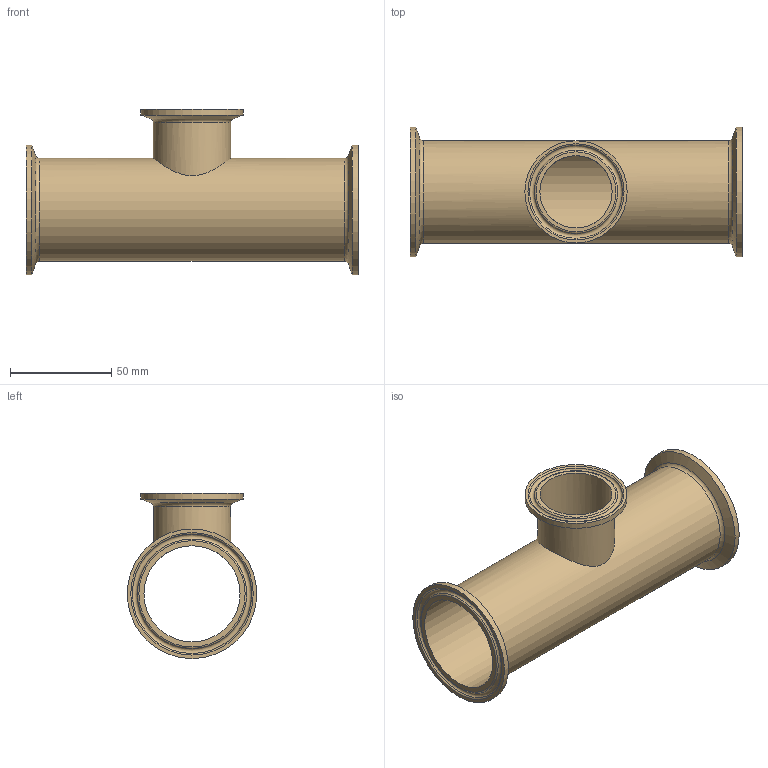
import cadquery as cq
import math

RUN_LENGTH = 164.0
RUN_OUTER_DIA = 50.8
RUN_BORE_DIA = 47.5
RUN_FLANGE_DIA = 64.0
RUN_GROOVE_DIA = 56.5

BRANCH_HEIGHT = 49.6
BRANCH_OUTER_DIA = 38.1
BRANCH_BORE_DIA = 35.7
BRANCH_FLANGE_DIA = 50.5
BRANCH_GROOVE_DIA = 43.5

RIM_THICKNESS = 2.85
BACK_ANGLE = math.radians(20.0)
NECK_RADIUS = 2.0

GROOVE_WIDTH = 4.0
GROOVE_DEPTH = 1.6
LIP_RADIUS = 0.8


def ferrule_body(length, pipe_dia, flange_dia):
    """Solid pipe along +Z from the origin, with a clamp flange at its top end."""
    pipe_radius = pipe_dia / 2
    flange_radius = flange_dia / 2
    rim_back = length - RIM_THICKNESS

    cone_foot = rim_back - (flange_radius - pipe_radius) * math.tan(BACK_ANGLE)
    neck_turn = math.pi / 2 - BACK_ANGLE
    tangent_length = NECK_RADIUS * math.tan(neck_turn / 2)
    neck_start = (pipe_radius, cone_foot - tangent_length)
    neck_end = (
        pipe_radius + tangent_length * math.cos(BACK_ANGLE),
        cone_foot + tangent_length * math.sin(BACK_ANGLE),
    )
    neck_middle = (
        pipe_radius + NECK_RADIUS * (1 - math.cos(neck_turn / 2)),
        neck_start[1] + NECK_RADIUS * math.sin(neck_turn / 2),
    )

    profile = (
        cq.Workplane("XZ")
        .lineTo(pipe_radius, 0)
        .lineTo(*neck_start)
        .threePointArc(neck_middle, neck_end)
        .lineTo(flange_radius, rim_back)
        .lineTo(flange_radius, length)
        .lineTo(0, length)
        .close()
    )
    return profile.revolve(360, (0, 0, 0), (0, 1, 0))


def gasket_groove(length, groove_dia):
    """Ring cutter for the groove in the end face at height `length`."""
    centre = groove_dia / 2
    half_width = GROOVE_WIDTH / 2

    floor_radius = (half_width**2 + GROOVE_DEPTH**2) / (2 * GROOVE_DEPTH) - LIP_RADIUS
    lip_turn = math.asin(half_width / (floor_radius + LIP_RADIUS))
    joint_offset = floor_radius * math.sin(lip_turn)
    joint_z = length - LIP_RADIUS * (1 - math.cos(lip_turn))
    lip_offset = half_width - LIP_RADIUS * math.sin(lip_turn / 2)
    lip_z = length - LIP_RADIUS * (1 - math.cos(lip_turn / 2))

    profile = (
        cq.Workplane("XZ")
        .moveTo(centre - half_width, length)
        .threePointArc((centre - lip_offset, lip_z), (centre - joint_offset, joint_z))
        .threePointArc((centre, length - GROOVE_DEPTH), (centre + joint_offset, joint_z))
        .threePointArc((centre + lip_offset, lip_z), (centre + half_width, length))
        .close()
    )
    return profile.revolve(360, (0, 0, 0), (0, 1, 0))


def grooved_ferrule(length, pipe_dia, flange_dia, groove_dia):
    body = ferrule_body(length, pipe_dia, flange_dia)
    return body.cut(gasket_groove(length, groove_dia))


def make_run():
    """Both halves of the run pipe, still without its bore."""
    half = grooved_ferrule(RUN_LENGTH / 2, RUN_OUTER_DIA, RUN_FLANGE_DIA, RUN_GROOVE_DIA)
    right_half = half.rotate((0, 0, 0), (0, 1, 0), 90)
    left_half = half.rotate((0, 0, 0), (0, 1, 0), -90)
    return right_half.union(left_half)


def make_bores():
    """Through bore of the run and the branch bore that opens into it."""
    run_bore = cq.Workplane("YZ").circle(RUN_BORE_DIA / 2).extrude(RUN_LENGTH / 2, both=True)
    branch_bore = cq.Workplane("XY").circle(BRANCH_BORE_DIA / 2).extrude(BRANCH_HEIGHT)
    return run_bore.union(branch_bore)


branch = grooved_ferrule(BRANCH_HEIGHT, BRANCH_OUTER_DIA, BRANCH_FLANGE_DIA, BRANCH_GROOVE_DIA)
result = make_run().union(branch).cut(make_bores())